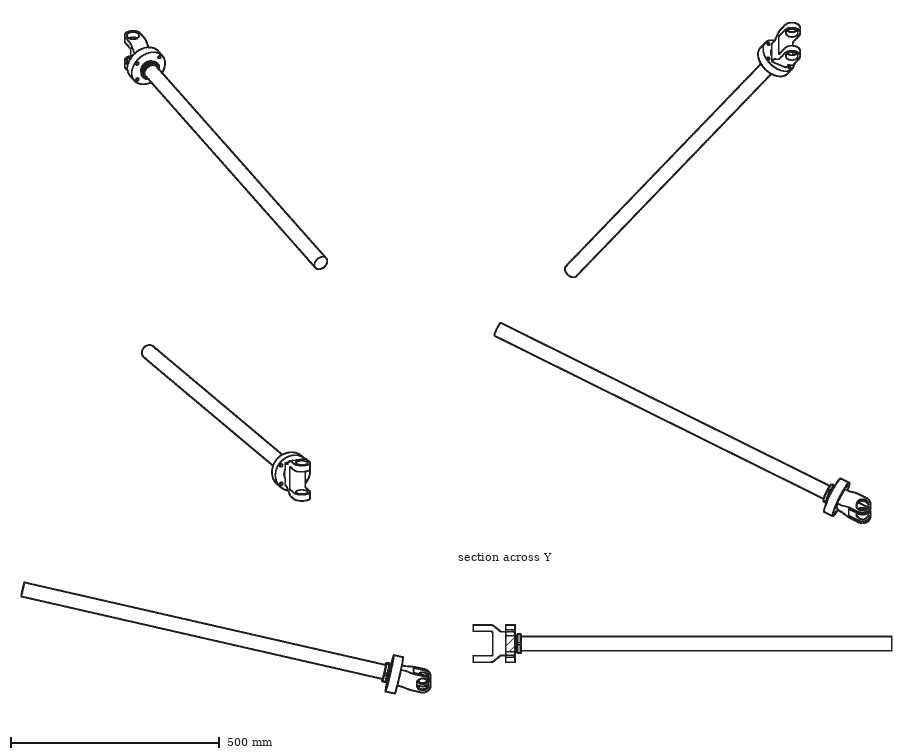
import cadquery as cq
import math

overall_length = 1003.75
arm_width = 40.0
arm_end_radius = arm_width / 2
yoke_tip_x = -arm_end_radius
shaft_end_x = yoke_tip_x + overall_length

yoke_height = 90.0
arm_thickness = 16.0
pin_hole_diameter = 29.0
slot_floor_x = 27.0
slot_corner_radius = 3.0
shoulder_x = 21.0
shoulder_radius = 16.0
shoulder_angle = 40.0
root_fillet_radius = 3.0
root_height = 57.5

flange_diameter = 90.0
flange_face_x = 58.0
flange_thickness = 23.0
recess_diameter = 45.0
recess_depth = 1.0
bolt_circle_diameter = 76.0
bolt_hole_diameter = 7.5
bolt_angle = 38.0

neck_diameter = 41.0
neck_length = 5.0
neck_chamfer = 1.5
collar_diameter = 47.0
collar_length = 9.0
collar_chamfer = 1.5
collar_slot_count = 4
collar_slot_width = 5.0
collar_slot_depth = 2.0
shaft_diameter = 35.0


def cylinder_along_x(diameter, start_x, length):
    return cq.Workplane("YZ", origin=(start_x, 0, 0)).circle(diameter / 2).extrude(length)


def make_yoke():
    yoke_end_x = flange_face_x + recess_depth
    half_height = yoke_height / 2
    half_root = root_height / 2
    half_slot = half_height - arm_thickness
    slope = math.radians(shoulder_angle)
    arc_end_x = shoulder_x + shoulder_radius * math.sin(slope)
    arc_end_z = half_height - shoulder_radius * (1 - math.cos(slope))
    arc_middle_x = shoulder_x + shoulder_radius * math.sin(slope / 2)
    arc_middle_z = half_height - shoulder_radius * (1 - math.cos(slope / 2))
    root_x = arc_end_x + (arc_end_z - half_root) / math.tan(slope)
    upper_half = (
        cq.Workplane("XZ")
        .moveTo(yoke_tip_x, 0)
        .lineTo(yoke_tip_x, half_height)
        .lineTo(shoulder_x, half_height)
        .threePointArc((arc_middle_x, arc_middle_z), (arc_end_x, arc_end_z))
        .lineTo(root_x, half_root)
        .lineTo(yoke_end_x, half_root)
        .lineTo(yoke_end_x, 0)
        .close()
        .extrude(arm_width / 2, both=True)
        .edges(cq.selectors.NearestToPointSelector((root_x, 0, half_root)))
        .fillet(root_fillet_radius)
    )
    slot_length = slot_floor_x - yoke_tip_x
    slot = (
        cq.Workplane("XY")
        .box(slot_length, arm_width, 2 * half_slot, centered=(False, True, True))
        .edges("|Y and >X")
        .fillet(slot_corner_radius)
        .translate((yoke_tip_x, 0, 0))
    )
    side_profile = upper_half.union(upper_half.mirror("XY")).cut(slot)
    plan_profile = (
        cq.Workplane("XY")
        .moveTo(yoke_end_x, arm_end_radius)
        .lineTo(0, arm_end_radius)
        .threePointArc((yoke_tip_x, 0), (0, -arm_end_radius))
        .lineTo(yoke_end_x, -arm_end_radius)
        .close()
        .extrude(half_height, both=True)
    )
    pin_hole = cq.Workplane("XY").circle(pin_hole_diameter / 2).extrude(half_height, both=True)
    return side_profile.intersect(plan_profile).cut(pin_hole)


def make_flange():
    flange = cylinder_along_x(flange_diameter, flange_face_x, flange_thickness)
    flange = flange.cut(cylinder_along_x(recess_diameter, flange_face_x, recess_depth))
    bolt_hole = cylinder_along_x(bolt_hole_diameter, flange_face_x, flange_thickness)
    bolt_y = bolt_circle_diameter / 2 * math.cos(math.radians(bolt_angle))
    bolt_z = bolt_circle_diameter / 2 * math.sin(math.radians(bolt_angle))
    for y in (bolt_y, -bolt_y):
        for z in (bolt_z, -bolt_z):
            flange = flange.cut(bolt_hole.translate((0, y, z)))
    return flange


def make_collar(start_x):
    collar = cylinder_along_x(collar_diameter, start_x, collar_length).edges().chamfer(collar_chamfer)
    slot = (
        cq.Workplane("XY")
        .box(collar_length, collar_slot_width, 2 * collar_slot_depth, centered=(False, True, True))
        .translate((start_x, 0, collar_diameter / 2))
    )
    for index in range(collar_slot_count):
        angle = index * 360 / collar_slot_count
        collar = collar.cut(slot.rotate((0, 0, 0), (1, 0, 0), angle))
    return collar


def make_shaft():
    neck_x = flange_face_x + flange_thickness
    neck = cylinder_along_x(neck_diameter, neck_x, neck_length).faces(">X").chamfer(neck_chamfer)
    collar = make_collar(neck_x + neck_length)
    shaft = cylinder_along_x(shaft_diameter, neck_x, shaft_end_x - neck_x)
    return shaft.union(neck).union(collar)


result = make_yoke().union(make_flange()).union(make_shaft())